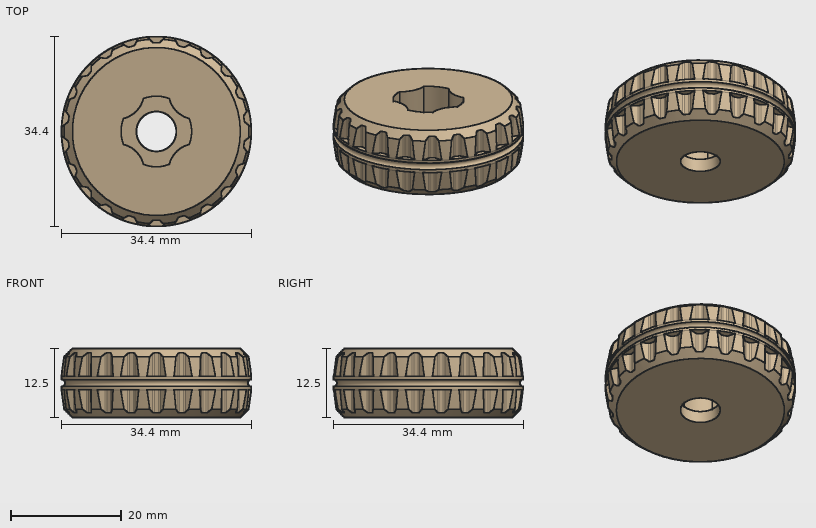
import cadquery as cq
import math

outer_radius = 17.2
height = 12.5
top_face_radius = 15.2
shoulder_radius = 16.7
band_half_height = 1.2
crown_mid_inset = 0.2
groove_radius = 0.62

flute_count = 22
flute_floor_radius = 16.02
flute_floor_width = 0.72
flute_lip_radius = 17.12
flute_rounding = 0.48
flank_angle = math.radians(45)
cut_margin = 0.35

hole_diameter = 7.2
pocket_radius = 6.4
pocket_depth = 10.0
lobe_count = 4
lobe_radius = 5.0
lobe_center_distance = 10.15
lobe_start_angle = 45

half_height = height / 2
shoulder_z = half_height - (shoulder_radius - top_face_radius)


def make_body():
    """Revolve the half section: chamfers, crowned rim, band and groove."""
    crown_mid = (outer_radius - crown_mid_inset, (band_half_height + shoulder_z) / 2)
    section = (
        cq.Workplane("XZ")
        .moveTo(0, -half_height)
        .lineTo(top_face_radius, -half_height)
        .lineTo(shoulder_radius, -shoulder_z)
        .threePointArc((crown_mid[0], -crown_mid[1]), (outer_radius, -band_half_height))
        .lineTo(outer_radius, -groove_radius)
        .threePointArc((outer_radius - groove_radius, 0), (outer_radius, groove_radius))
        .lineTo(outer_radius, band_half_height)
        .threePointArc(crown_mid, (shoulder_radius, shoulder_z))
        .lineTo(top_face_radius, half_height)
        .lineTo(0, half_height)
        .close()
    )
    return section.revolve(360, (0, 0, 0), (0, 1, 0))


def make_flute():
    """Upper flute at +Y: flat floor, sloped flanks, rounded floor corners and lips."""
    round_run = flute_rounding * math.sin(flank_angle)
    round_rise = flute_rounding * (1 - math.cos(flank_angle))
    half_run = flute_rounding * math.sin(flank_angle / 2)
    half_rise = flute_rounding * (1 - math.cos(flank_angle / 2))
    flank_rise = flute_lip_radius - flute_floor_radius - 2 * round_rise

    floor_x = flute_floor_width / 2
    flank_start_x = floor_x + round_run
    flank_end_x = flank_start_x + flank_rise / math.tan(flank_angle)
    lip_x = flank_end_x + round_run
    flank_start_y = flute_floor_radius + round_rise
    flank_end_y = flute_lip_radius - round_rise
    floor_mid = (floor_x + half_run, flute_floor_radius + half_rise)
    lip_mid = (lip_x - half_run, flute_lip_radius - half_rise)
    outside_y = outer_radius + cut_margin

    return (
        cq.Workplane("XY", origin=(0, 0, band_half_height))
        .moveTo(-floor_x, flute_floor_radius)
        .lineTo(floor_x, flute_floor_radius)
        .threePointArc(floor_mid, (flank_start_x, flank_start_y))
        .lineTo(flank_end_x, flank_end_y)
        .threePointArc(lip_mid, (lip_x, flute_lip_radius))
        .lineTo(lip_x, outside_y)
        .lineTo(-lip_x, outside_y)
        .lineTo(-lip_x, flute_lip_radius)
        .threePointArc((-lip_mid[0], lip_mid[1]), (-flank_end_x, flank_end_y))
        .lineTo(-flank_start_x, flank_start_y)
        .threePointArc((-floor_mid[0], floor_mid[1]), (-floor_x, flute_floor_radius))
        .close()
        .extrude(half_height - band_half_height)
    )


def cut_flutes(body):
    """Cut the ring of flutes above the band and its mirror image below."""
    upper_flute = make_flute()
    lower_flute = upper_flute.mirror("XY")
    for index in range(flute_count):
        angle = index * 360 / flute_count
        for flute in (upper_flute, lower_flute):
            body = body.cut(flute.rotate((0, 0, 0), (0, 0, 1), angle))
    return body


def make_pocket():
    """Round pocket narrowed by four convex walls on the diagonals."""
    floor = cq.Workplane("XY", origin=(0, 0, half_height - pocket_depth))
    walls = (
        floor.polarArray(lobe_center_distance, lobe_start_angle, 360, lobe_count)
        .circle(lobe_radius)
        .extrude(pocket_depth)
    )
    return floor.circle(pocket_radius).extrude(pocket_depth).cut(walls)


hole = cq.Workplane("XY").circle(hole_diameter / 2).extrude(half_height, both=True)
result = cut_flutes(make_body()).cut(make_pocket()).cut(hole)